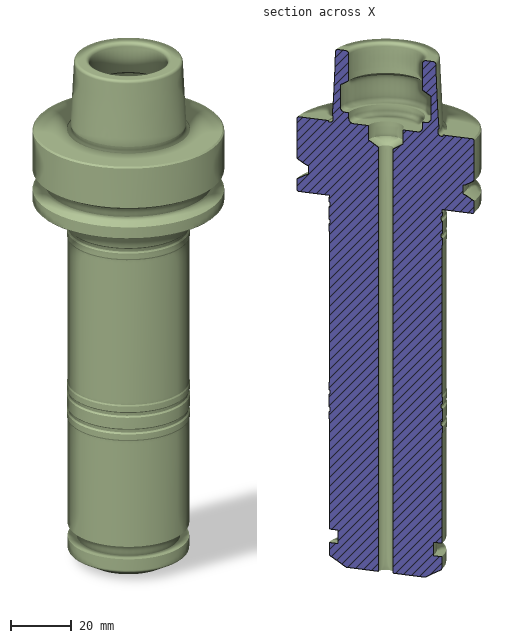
import cadquery as cq
import math

TOTAL_LENGTH = 179.0

TAPER_DIA = 38.01
TAPER_RATIO = 1 / 9.98
TAPER_END_DEPTH = 23.2
TOP_ROUND = 1.0

FLANGE_DIA = 63.0
FLANGE_FACE_DEPTH = 25.0
FLANGE_HEIGHT = 26.0
FLANGE_CHAMFER = 0.5
FLANGE_BACK_DEPTH = FLANGE_FACE_DEPTH + FLANGE_HEIGHT
GRIP_FLOOR_DIA = 55.0
GRIP_FLOOR_WIDTH = 2.9
GRIP_LEDGE_DIA = 57.0
GRIP_CENTRE_BELOW_FACE = 18.1
GRIP_MOUTH_WIDTH = 7.0
GRIP_FLANK_ANGLE = 30.0

RELIEF_NECK_DIA = 37.4
RELIEF_RIM_DIA = 40.5
RELIEF_BELOW_FACE = 0.5
RELIEF_ROUND = 1.0

SHAFT_DIA = 40.0
BAND_DIA = 40.5
BAND_LENGTH = 12.0
BAND_END_SLOPE = 0.5
UPPER_BAND_START = 52.0
UPPER_BAND_CENTRE = 57.0
LOWER_BAND_CENTRE = 122.0
BAND_GROOVE_PITCH = 6.0
BAND_GROOVE_DIA = 39.5
BAND_GROOVE_MOUTH = 2.0
BAND_GROOVE_FLOOR = 1.0

END_GROOVE_DIA = 34.0
END_GROOVE_DEPTH = 166.5
END_GROOVE_WIDTH = 4.5
END_FACE_DIA = 28.0
END_CONE_ANGLE = 30.0
END_ROUND = 1.0

BORE_DIA = 26.0
BORE_MOUTH_ROUND = 1.25
LIP_DEPTH = 10.5
LIP_BACK_ANGLE = 30.0
RECESS_DIA = 32.0
RECESS_DEPTH = 21.4
POCKET_DEPTH = 25.0
FLOOR_ROUND = 1.5
INNER_HOLE_DIA = 12.0
INNER_HOLE_DEPTH = 30.0
THROUGH_DIA = 5.0
HOLE_POINT_ANGLE = 118.0


def revolve(points):
    """Revolve a closed outline of (diameter, depth) points about Z."""
    outline = [(dia / 2, TOTAL_LENGTH - depth) for dia, depth in points]
    return cq.Workplane("XZ").polyline(outline).close().revolve(360, (0, 0, 0), (0, 1, 0))


def disc(dia, top_depth, bottom_depth):
    """Plain cylinder between two depths."""
    return revolve([(0, top_depth), (dia, top_depth), (dia, bottom_depth), (0, bottom_depth)])


def groove(floor_dia, mouth_dia, centre_depth, floor_width, mouth_width):
    """Ring with sloping flanks, to be cut from the outside."""
    return revolve([
        (floor_dia, centre_depth - floor_width / 2),
        (mouth_dia, centre_depth - mouth_width / 2),
        (mouth_dia, centre_depth + mouth_width / 2),
        (floor_dia, centre_depth + floor_width / 2),
    ])


def taper():
    """Short cone with a rounded top edge, and the thin neck that carries it."""
    top_dia = TAPER_DIA - TAPER_END_DEPTH * TAPER_RATIO
    cone = revolve([(0, 0), (top_dia, 0), (TAPER_DIA, TAPER_END_DEPTH), (0, TAPER_END_DEPTH)])
    neck = disc(RELIEF_NECK_DIA, TAPER_END_DEPTH, FLANGE_BACK_DEPTH)
    return cone.faces(">Z").edges().fillet(TOP_ROUND).union(neck)


def gripper_groove():
    """Groove with sloping flanks, shallow ledges and a narrower cylindrical floor."""
    centre = FLANGE_FACE_DEPTH + GRIP_CENTRE_BELOW_FACE
    flank_height = (FLANGE_DIA - GRIP_LEDGE_DIA) / 2
    ledge_width = GRIP_MOUTH_WIDTH - 2 * flank_height * math.tan(math.radians(GRIP_FLANK_ANGLE))
    flanks = groove(GRIP_LEDGE_DIA, FLANGE_DIA, centre, ledge_width, GRIP_MOUTH_WIDTH)
    floor = groove(GRIP_FLOOR_DIA, GRIP_LEDGE_DIA, centre, GRIP_FLOOR_WIDTH, ledge_width)
    return flanks.union(floor)


def flange():
    """Chamfered flange with the gripper groove and the ring recess in its upper face."""
    body = disc(FLANGE_DIA, FLANGE_FACE_DEPTH, FLANGE_BACK_DEPTH)
    body = body.faces("<Z or >Z").edges().chamfer(FLANGE_CHAMFER)
    recess = disc(RELIEF_RIM_DIA, FLANGE_FACE_DEPTH, FLANGE_FACE_DEPTH + RELIEF_BELOW_FACE)
    return body.cut(gripper_groove()).cut(recess)


def neck_root():
    """Concave round between the neck and the floor of the ring recess."""
    neck_radius = RELIEF_NECK_DIA / 2
    floor_z = TOTAL_LENGTH - FLANGE_FACE_DEPTH - RELIEF_BELOW_FACE
    outer_radius = neck_radius + RELIEF_ROUND
    top_z = floor_z + RELIEF_ROUND
    bulge = RELIEF_ROUND * (1 - math.sqrt(0.5))
    return (
        cq.Workplane("XZ")
        .moveTo(0, floor_z)
        .lineTo(outer_radius, floor_z)
        .threePointArc((neck_radius + bulge, floor_z + bulge), (neck_radius, top_z))
        .lineTo(0, top_z)
        .close()
        .revolve(360, (0, 0, 0), (0, 1, 0))
    )


def shaft():
    """Plain shaft with a conical lower end and a square groove above it."""
    cone_height = (SHAFT_DIA - END_FACE_DIA) / 2 * math.tan(math.radians(END_CONE_ANGLE))
    cone_start = TOTAL_LENGTH - cone_height
    cone = revolve([
        (0, FLANGE_BACK_DEPTH),
        (SHAFT_DIA, FLANGE_BACK_DEPTH),
        (SHAFT_DIA, cone_start),
        (END_FACE_DIA, TOTAL_LENGTH),
        (0, TOTAL_LENGTH),
    ])
    shoulder = cone.edges("%CIRCLE").edges(cq.selectors.RadiusNthSelector(-1)).edges("<Z")
    body = shoulder.fillet(END_ROUND)
    centre = END_GROOVE_DEPTH + END_GROOVE_WIDTH / 2
    return body.cut(groove(END_GROOVE_DIA, SHAFT_DIA, centre, END_GROOVE_WIDTH, END_GROOVE_WIDTH))


def band(start, end):
    """Raised band with sloped ends."""
    return revolve([
        (0, start - BAND_END_SLOPE),
        (SHAFT_DIA, start - BAND_END_SLOPE),
        (BAND_DIA, start),
        (BAND_DIA, end),
        (SHAFT_DIA, end + BAND_END_SLOPE),
        (0, end + BAND_END_SLOPE),
    ])


def banded_shaft():
    """Shaft with two raised bands, each carrying a pair of grooves."""
    half_band = BAND_LENGTH / 2
    body = shaft()
    body = body.union(band(UPPER_BAND_START, UPPER_BAND_CENTRE + half_band))
    body = body.union(band(LOWER_BAND_CENTRE - half_band, LOWER_BAND_CENTRE + half_band))
    for centre in (UPPER_BAND_CENTRE, LOWER_BAND_CENTRE):
        for offset in (-BAND_GROOVE_PITCH / 2, BAND_GROOVE_PITCH / 2):
            body = body.cut(groove(
                BAND_GROOVE_DIA, BAND_DIA, centre + offset, BAND_GROOVE_FLOOR, BAND_GROOVE_MOUTH
            ))
    return body


def bore():
    """Stepped through hole from the top face down to the lower end."""
    point_height = (INNER_HOLE_DIA - THROUGH_DIA) / 2 / math.tan(math.radians(HOLE_POINT_ANGLE / 2))
    lip_back_height = (RECESS_DIA - BORE_DIA) / 2 * math.tan(math.radians(LIP_BACK_ANGLE))
    pocket = disc(BORE_DIA, 0, POCKET_DEPTH).faces("<Z").edges().fillet(FLOOR_ROUND)
    recess = revolve([
        (0, LIP_DEPTH),
        (BORE_DIA, LIP_DEPTH),
        (RECESS_DIA, LIP_DEPTH + lip_back_height),
        (RECESS_DIA, RECESS_DEPTH),
        (0, RECESS_DEPTH),
    ]).faces("<Z").edges().fillet(FLOOR_ROUND)
    inner = revolve([
        (0, POCKET_DEPTH),
        (INNER_HOLE_DIA, POCKET_DEPTH),
        (INNER_HOLE_DIA, INNER_HOLE_DEPTH),
        (THROUGH_DIA, INNER_HOLE_DEPTH + point_height),
        (THROUGH_DIA, TOTAL_LENGTH),
        (0, TOTAL_LENGTH),
    ])
    return pocket.union(recess).union(inner)


body = taper().union(flange()).union(neck_root()).union(banded_shaft()).cut(bore())
bore_mouth = body.faces(">Z").edges(cq.selectors.RadiusNthSelector(0))
result = bore_mouth.fillet(BORE_MOUTH_ROUND)